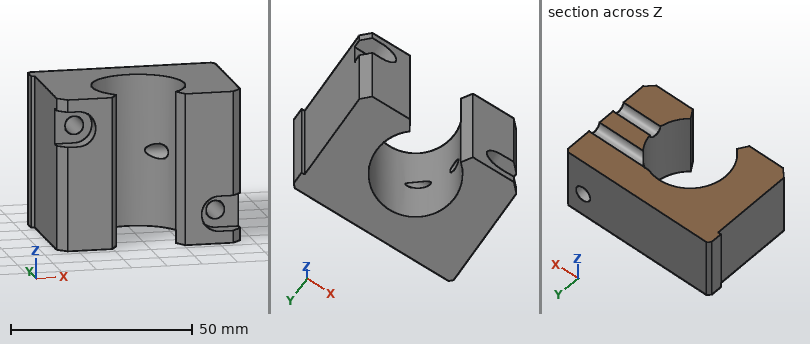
import cadquery as cq
import math

length = 53.0
depth = 35.0
height = 43.0
center_x = length / 2

lip_projection = 1.0
lip_width = 5.0
back_chamfer = 1.0
front_chamfer = 2.6

bore_radius = 13.0
bore_y = 13.0
mouth_half_width = 10.4
mouth_flank_angle = 32.0

screw_radius = 2.6
seat_radius = 5.0
seat_depth = 5.0
screw_side_offset = 6.5
screw_end_offset = 8.5

cross_hole_radius = 2.1
cross_hole_offsets = (0.0, 10.0)


def make_block():
    """Extrude the chamfered outline with its side lip."""
    outline = [
        (lip_projection + front_chamfer, 0),
        (length - front_chamfer, 0),
        (length, front_chamfer),
        (length, depth - back_chamfer),
        (length - back_chamfer, depth),
        (back_chamfer, depth),
        (0, depth - back_chamfer),
        (0, depth - lip_width),
        (lip_projection, depth - lip_width),
        (lip_projection, front_chamfer),
    ]
    return cq.Workplane("XY").polyline(outline).close().extrude(height)


def make_bore():
    """Vertical bore joined to a mouth that widens toward the front."""
    bore = cq.Workplane("XY").center(center_x, bore_y).circle(bore_radius).extrude(height)
    inner_half_width = mouth_half_width - bore_y * math.tan(math.radians(mouth_flank_angle))
    mouth_outline = [
        (center_x - mouth_half_width, 0),
        (center_x + mouth_half_width, 0),
        (center_x + inner_half_width, bore_y),
        (center_x - inner_half_width, bore_y),
    ]
    mouth = cq.Workplane("XY").polyline(mouth_outline).close().extrude(height)
    return bore.union(mouth)


def make_screw_cut(x, z, side):
    """Through hole with a round seat open to the left (side -1) or right (side 1)."""
    hole = cq.Workplane("XZ").center(x, z).circle(screw_radius).extrude(-depth)
    seat = cq.Workplane("XZ").center(x, z).circle(seat_radius).extrude(-seat_depth)
    run_out = (
        cq.Workplane("XZ")
        .center(x + side * screw_side_offset / 2, z)
        .rect(screw_side_offset, 2 * seat_radius)
        .extrude(-seat_depth)
    )
    return hole.union(seat).union(run_out)


def make_cross_hole(y):
    """Horizontal hole at mid height, from the bore out through the right side."""
    return (
        cq.Workplane("YZ", origin=(center_x, 0, 0))
        .center(y, height / 2)
        .circle(cross_hole_radius)
        .extrude(length - center_x)
    )


result = make_block().cut(make_bore())
result = result.cut(make_screw_cut(screw_side_offset, height - screw_end_offset, -1))
result = result.cut(make_screw_cut(length - screw_side_offset, screw_end_offset, 1))
for offset in cross_hole_offsets:
    result = result.cut(make_cross_hole(bore_y + offset))